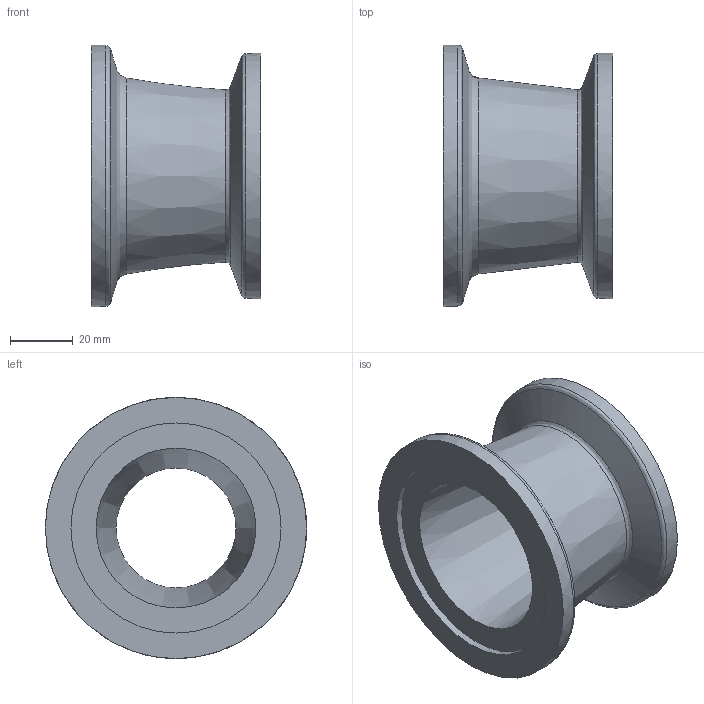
import cadquery as cq
import math

length = 53.85
large_flange_radius = 83.06 / 2
small_flange_radius = 77.98 / 2
flange_edge_width = 5.74
large_back_angle = 17.0
small_back_angle = 20.0
rim_fillet = 1.52

large_body_radius = 31.45
small_body_radius = 27.25
large_root_fillet = 3.5
small_root_fillet = 1.52

large_bore_radius = 50.8 / 2
small_bore_radius = 38.1 / 2
large_recess_radius = 66.8 / 2
small_recess_radius = 55.63 / 2
recess_depth = 2.3


def back_run(flange_radius, body_radius, back_angle):
    """Axial length of the sloping flange back."""
    return (flange_radius - body_radius) * math.tan(math.radians(back_angle))


large_rim_x = flange_edge_width
small_rim_x = length - flange_edge_width
large_root_x = large_rim_x + back_run(large_flange_radius, large_body_radius, large_back_angle)
small_root_x = small_rim_x - back_run(small_flange_radius, small_body_radius, small_back_angle)


def revolve_about_x(points):
    """Turn a closed (x, radius) outline a full circle about the X axis."""
    return cq.Workplane("XY").polyline(points).close().revolve(axisStart=(0, 0, 0), axisEnd=(1, 0, 0))


def round_edge(body, x, fillet_radius):
    """Round the circular edge centred on the axis at x."""
    tolerance = 0.01
    edge_box = cq.selectors.BoxSelector(
        (x - tolerance, -tolerance, -tolerance),
        (x + tolerance, tolerance, tolerance),
    )
    return body.edges(edge_box).fillet(fillet_radius)


def make_outside():
    """Solid spool: two flanges with sloping backs joined by a tapered body."""
    body = revolve_about_x([
        (0, 0),
        (0, large_flange_radius),
        (large_rim_x, large_flange_radius),
        (large_root_x, large_body_radius),
        (small_root_x, small_body_radius),
        (small_rim_x, small_flange_radius),
        (length, small_flange_radius),
        (length, 0),
    ])
    body = round_edge(body, large_rim_x, rim_fillet)
    body = round_edge(body, large_root_x, large_root_fillet)
    body = round_edge(body, small_root_x, small_root_fillet)
    return round_edge(body, small_rim_x, rim_fillet)


def make_inside():
    """Tapered bore with a gasket recess at each end."""
    large_floor_x = recess_depth
    small_floor_x = length - recess_depth
    return revolve_about_x([
        (0, 0),
        (0, large_recess_radius),
        (large_floor_x, large_recess_radius),
        (large_floor_x, large_bore_radius),
        (small_floor_x, small_bore_radius),
        (small_floor_x, small_recess_radius),
        (length, small_recess_radius),
        (length, 0),
    ])


result = make_outside().cut(make_inside())